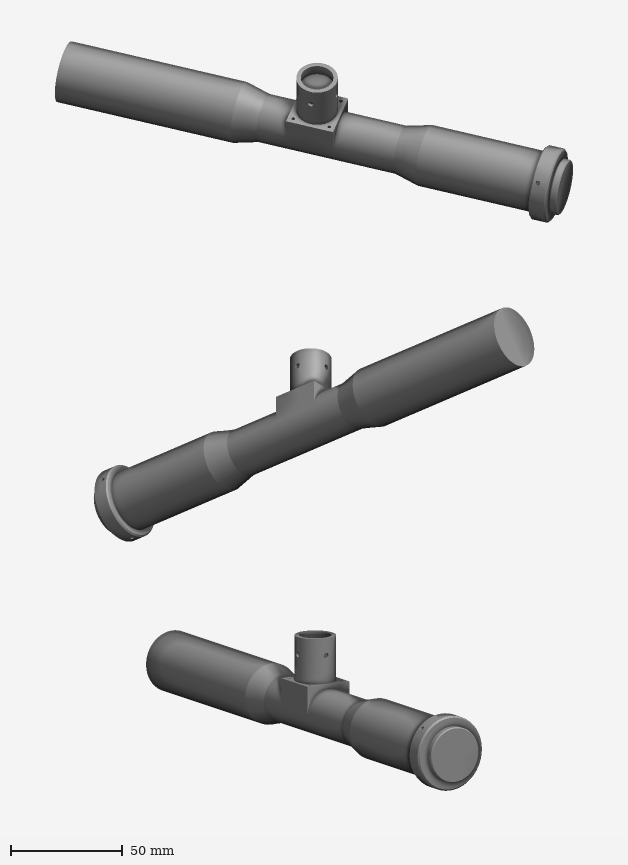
import cadquery as cq
import math

total_length = 234.8
barrel_radius = 28.0 / 2
neck_radius = 11.0
rear_barrel_end = 82.5
front_barrel_start = 169.3
taper_length = 11.3

ring_start = 223.0
ring_end = 231.0
ring_radius = 34.0 / 2
ring_chamfer = 0.7
groove_radius = 11.5
groove_width = 0.7
spigot_radius = 12.7
spigot_chamfer = 0.5
ring_screw_x = 226.0
ring_screw_radius = 1.05
ring_screw_depth = 1.9
ring_screw_count = 3
first_ring_screw_angle = 135.0

turret_x = 118.5
block_side = 22.0
block_top = 13.1
block_screw_pitch = 17.0
block_screw_radius = 0.82
block_screw_depth = 2.3
post_radius = 18.5 / 2
overall_height = 50.7
post_top = overall_height - ring_radius
bore_radius = 7.3
bore_depth = 5.2
post_screw_z = 25.8
post_screw_radius = 1.3
post_screw_depth = 1.5
post_screw_count = 4


def make_tube():
    """Revolve the stepped profile of the barrels, neck, ring and spigot."""
    spigot_start = ring_end + groove_width
    profile = [
        (0, 0),
        (0, barrel_radius),
        (rear_barrel_end, barrel_radius),
        (rear_barrel_end + taper_length, neck_radius),
        (front_barrel_start - taper_length, neck_radius),
        (front_barrel_start, barrel_radius),
        (ring_start, barrel_radius),
        (ring_start, ring_radius - ring_chamfer),
        (ring_start + ring_chamfer, ring_radius),
        (ring_end - ring_chamfer, ring_radius),
        (ring_end, ring_radius - ring_chamfer),
        (ring_end, groove_radius),
        (spigot_start, groove_radius),
        (spigot_start, spigot_radius),
        (total_length - spigot_chamfer, spigot_radius),
        (total_length, spigot_radius - spigot_chamfer),
        (total_length, 0),
    ]
    return cq.Workplane("XY").polyline(profile).close().revolve(360, (0, 0, 0), (1, 0, 0))


def make_turret():
    """Block with its hollow post."""
    base = cq.Workplane("XY").center(turret_x, 0)
    block = base.rect(block_side, block_side).extrude(block_top)
    return block.union(base.circle(post_radius).extrude(post_top))


def radial_hole(centre, direction, surface_radius, hole_radius, depth):
    """Blind hole cutter running inwards from a round surface."""
    start = centre + direction * surface_radius
    start = start + direction * depth
    return cq.Workplane(cq.Solid.makeCylinder(hole_radius, 2 * depth, start, direction * -1))


def cut_ring_screws(body):
    centre = cq.Vector(ring_screw_x, 0, 0)
    for i in range(ring_screw_count):
        angle = math.radians(first_ring_screw_angle + i * 360 / ring_screw_count)
        direction = cq.Vector(0, math.cos(angle), math.sin(angle))
        body = body.cut(radial_hole(centre, direction, ring_radius, ring_screw_radius, ring_screw_depth))
    return body


def cut_post_screws(body):
    centre = cq.Vector(turret_x, 0, post_screw_z)
    for i in range(post_screw_count):
        angle = math.radians(i * 360 / post_screw_count)
        direction = cq.Vector(math.cos(angle), math.sin(angle), 0)
        body = body.cut(radial_hole(centre, direction, post_radius, post_screw_radius, post_screw_depth))
    return body


def cut_block_screws(body):
    holes = (
        cq.Workplane("XY", origin=(turret_x, 0, block_top))
        .rect(block_screw_pitch, block_screw_pitch, forConstruction=True)
        .vertices()
        .circle(block_screw_radius)
        .extrude(-block_screw_depth)
    )
    return body.cut(holes)


def cut_post_bore(body):
    bore = cq.Workplane("XY", origin=(turret_x, 0, post_top)).circle(bore_radius).extrude(-bore_depth)
    return body.cut(bore)


body = make_tube().union(make_turret())
body = cut_ring_screws(body)
body = cut_post_screws(body)
body = cut_block_screws(body)
result = cut_post_bore(body)